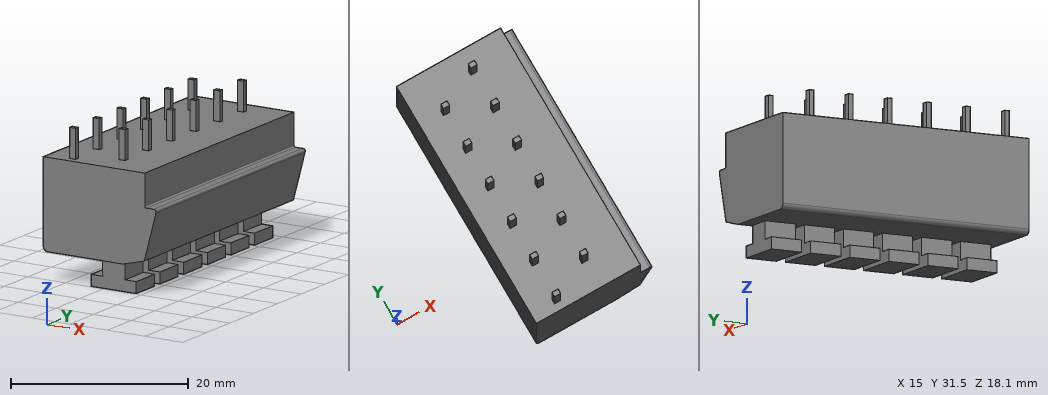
import cadquery as cq
import math

HOUSING_LENGTH = 31.5
HOUSING_HEIGHT = 11.0
OVERALL_WIDTH = 15.0
TOP_WIDTH = 13.5
SHELF_DEPTH = 4.05
BEVEL_START_X = 10.6
FLANK_ANGLE = 15.0
BOTTOM_RADIUS = 0.6
SHELF_TIP_RADIUS = 0.3
SHELF_ROOT_RADIUS = 0.2

PIN_COUNT = 12
PIN_PITCH = 2.5
PIN_HEIGHT = 3.6
PIN_SIZE_X = 0.8
PIN_SIZE_Y = 0.6
FIRST_PIN_Y = 1.25
NEAR_ROW_X = 3.3
ROW_SPACING = 5.0

BUTTON_COUNT = 6
BUTTON_PITCH = 2 * PIN_PITCH
BUTTON_LENGTH = 3.85
BUTTON_DROP = 3.5
FIRST_BUTTON_Y = 2.9
BUTTON_X = 8.75
STEM_WIDTH = 3.0
FOOT_WIDTH = 6.0
FOOT_THICKNESS = 1.4


def make_housing():
    """Body with a shelf, a sloped flank and a bevelled lower edge."""
    angle = math.radians(FLANK_ANGLE)
    slope = math.tan(angle)
    shelf_z = HOUSING_HEIGHT - SHELF_DEPTH

    tip_x = OVERALL_WIDTH + SHELF_TIP_RADIUS * (slope + 1 / math.cos(angle) - 1)

    flank_foot_x = (tip_x - slope * (shelf_z + slope * BEVEL_START_X)) / (1 - slope**2)
    flank_foot_z = slope * (flank_foot_x - BEVEL_START_X)

    outline = [
        (0, 0),
        (BEVEL_START_X, 0),
        (flank_foot_x, flank_foot_z),
        (tip_x, shelf_z),
        (TOP_WIDTH, shelf_z),
        (TOP_WIDTH, HOUSING_HEIGHT),
        (0, HOUSING_HEIGHT),
    ]
    housing = cq.Workplane("XZ").polyline(outline).close().extrude(-HOUSING_LENGTH)

    middle_y = HOUSING_LENGTH / 2
    rounded_edges = [
        ((0, middle_y, 0), BOTTOM_RADIUS),
        ((tip_x, middle_y, shelf_z), SHELF_TIP_RADIUS),
        ((TOP_WIDTH, middle_y, shelf_z), SHELF_ROOT_RADIUS),
    ]
    for edge_point, radius in rounded_edges:
        housing = housing.edges(cq.selectors.NearestToPointSelector(edge_point)).fillet(radius)
    return housing


def make_pin(index):
    """Rectangular pin; successive pins alternate between the two rows."""
    x = NEAR_ROW_X + ROW_SPACING * (index % 2)
    y = FIRST_PIN_Y + PIN_PITCH * index
    return (
        cq.Workplane("XY", origin=(x, y, HOUSING_HEIGHT))
        .rect(PIN_SIZE_X, PIN_SIZE_Y)
        .extrude(PIN_HEIGHT)
    )


def make_button(index):
    """Inverted T: a stem below the housing with a wider foot at its lower end."""
    y = FIRST_BUTTON_Y + BUTTON_PITCH * index
    stem = (
        cq.Workplane("XY", origin=(BUTTON_X, y, 0))
        .rect(STEM_WIDTH, BUTTON_LENGTH)
        .extrude(-BUTTON_DROP)
    )
    foot = (
        cq.Workplane("XY", origin=(BUTTON_X, y, -BUTTON_DROP))
        .rect(FOOT_WIDTH, BUTTON_LENGTH)
        .extrude(FOOT_THICKNESS)
    )
    return stem.union(foot)


result = make_housing()
for pin_index in range(PIN_COUNT):
    result = result.union(make_pin(pin_index))
for button_index in range(BUTTON_COUNT):
    result = result.union(make_button(button_index))